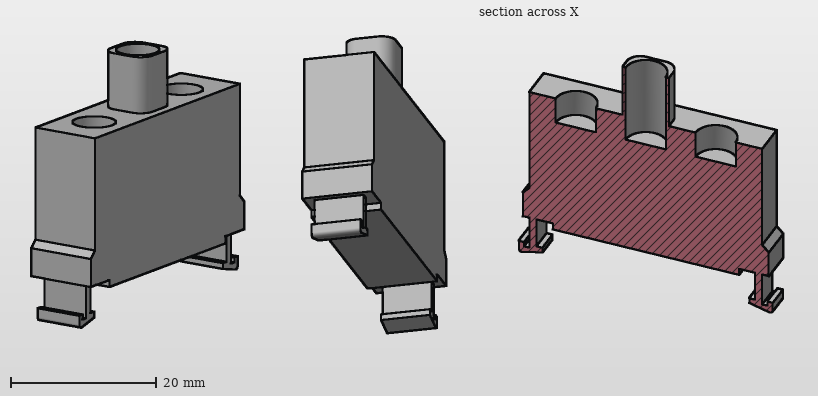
import cadquery as cq
import math

width = 10.0
upper_length = 35.0
ledge = 1.0
flange_bottom = 6.0
flange_top = 10.0
housing_top = 27.0
foot_length = 28.0
foot_height = 1.0

tower_side = 7.0
tower_corner_radius = 2.0
tower_top = 35.0

socket_diameter = 6.0
socket_pitch = 10.5
socket_depth = 4.0

clip_width = 7.0
stem_thickness = 1.1
hook_outer = 19.1
lip_thickness = 0.85
lip_top = 1.8
groove_floor = 1.1
hook_inner = 15.5
hook_inner_top = 1.6
nose_radius = 0.5
hook_slope = math.radians(14)


def extrude_across(outline, across):
    """Extrude an outline in the YZ plane symmetrically about X = 0."""
    return outline.close().extrude(across / 2, both=True)


def make_housing():
    """Block with a flange at each end and a shallow foot underneath."""
    upper = upper_length / 2
    flange = upper + ledge
    foot = foot_length / 2
    outline = cq.Workplane("YZ").polyline([
        (-foot, flange_bottom - foot_height),
        (foot, flange_bottom - foot_height),
        (foot, flange_bottom),
        (flange, flange_bottom),
        (flange, flange_top),
        (upper, flange_top + ledge),
        (upper, housing_top),
        (-upper, housing_top),
        (-upper, flange_top + ledge),
        (-flange, flange_top),
        (-flange, flange_bottom),
        (-foot, flange_bottom),
    ])
    return extrude_across(outline, width)


def make_tower():
    return (
        cq.Workplane("XY", origin=(0, 0, housing_top))
        .rect(tower_side, tower_side)
        .extrude(tower_top - housing_top)
        .edges("|Z")
        .fillet(tower_corner_radius)
    )


def make_socket(y):
    """Cutting cylinder for a round blind socket at the given Y."""
    floor = housing_top - socket_depth
    return (
        cq.Workplane("XY", origin=(0, y, floor))
        .circle(socket_diameter / 2)
        .extrude(tower_top - floor)
    )


def make_clip():
    """Clip at the +Y end: a stem with a hook whose sloped underside meets a round nose."""
    stem_outer = upper_length / 2
    stem_inner = stem_outer - stem_thickness
    lip_inner = hook_outer - lip_thickness
    nose_y = hook_outer - nose_radius
    nose_z = nose_radius

    def nose_point(angle):
        return (nose_y + nose_radius * math.cos(angle), nose_z + nose_radius * math.sin(angle))

    nose_end = -math.pi / 2 - hook_slope
    slope_start = nose_point(nose_end)
    hook_inner_bottom = slope_start[1] + (slope_start[0] - hook_inner) * math.tan(hook_slope)

    outline = (
        cq.Workplane("YZ")
        .moveTo(stem_inner, flange_bottom)
        .lineTo(stem_outer, flange_bottom)
        .lineTo(stem_outer, groove_floor)
        .lineTo(lip_inner, groove_floor)
        .lineTo(lip_inner, lip_top)
        .lineTo(hook_outer, lip_top)
        .lineTo(*nose_point(0))
        .threePointArc(nose_point(nose_end / 2), slope_start)
        .lineTo(hook_inner, hook_inner_bottom)
        .lineTo(hook_inner, hook_inner_top)
        .lineTo(stem_inner, hook_inner_top)
    )
    return extrude_across(outline, clip_width)


clip = make_clip()
result = make_housing().union(make_tower()).union(clip).union(clip.mirror("XZ"))
for y in (-socket_pitch, 0, socket_pitch):
    result = result.cut(make_socket(y))